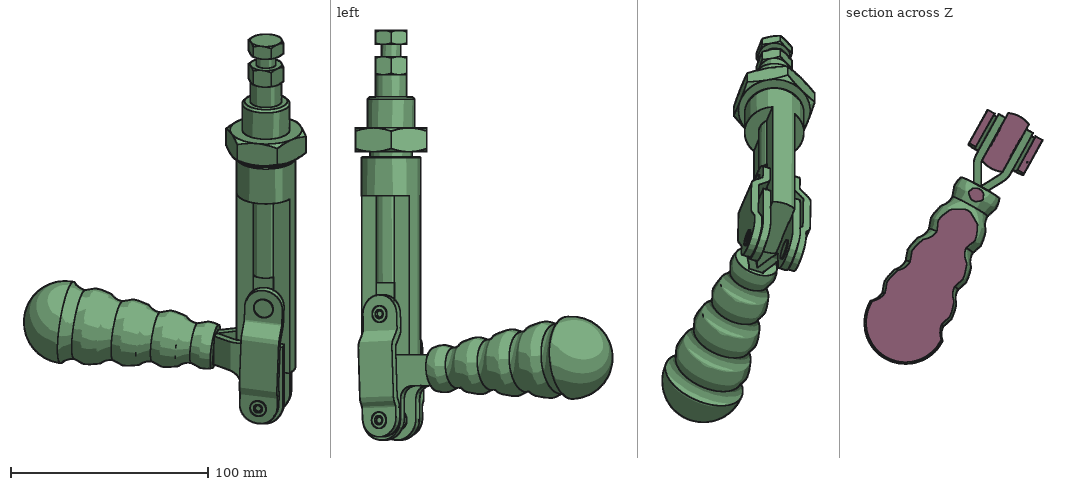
import cadquery as cq
import math

LEVER_TURN = -29.0

BODY_BOTTOM = 27.6
ROD_FLAT_TOP = 79.7
FLATS_TOP = 123.8
COLLAR_TOP = 143.7
NUT_BOTTOM = 146.2
NUT_TOP = 158.2
THREAD_TOP = 174.0
LOCK_NUT_BOTTOM = 185.2
LOCK_NUT_TOP = 194.4
HEAD_BOTTOM = 200.5
OVERALL_TOP = 207.6

BODY_DIAMETER = 30.1
NECK_DIAMETER = 21.5
THREAD_DIAMETER = 24.0
ROD_DIAMETER = 16.0
BOLT_DIAMETER = 10.0
COLLAR_CHAMFER = 0.6
THREAD_CHAMFER = 1.2
FLAT_DISTANCE = 6.0
ROD_FLAT_DEPTH = 0.2

NUT_ACROSS_FLATS = 36.3
BOLT_ACROSS_FLATS = 16.0
HEX_CHAMFER_ANGLE = 30.0

SHEET = 4.0
CHEEK_HALF_WIDTH = 11.0
ARM_BOTTOM = BODY_BOTTOM
ARM_TOP = 43.5
ARM_CORNER_RADIUS = 6.6
ARM_BEND_Y = -15.4
ARM_ANGLE = 29.0
ARM_BEND_RADIUS = 6.0
TANG_END_Y = -41.5

LINK_HALF_WIDTH = 9.8
LINK_BULGE = 6.0
LINK_BEND_RADIUS = 2.0
LINK_LEAN = 2.0
UPPER_BEND_TOP = 54.5
UPPER_BEND_BOTTOM = 47.5
LOWER_BEND_TOP = 21.5
LOWER_BEND_BOTTOM = 18.0
UPPER_PIN_Y = 1.0
UPPER_PIN_Z = 64.0
LOWER_PIN_Z = 10.2
LOWER_END_Z = 11.5

RIVET_HEAD_RADIUS = 5.0
RIVET_TAIL_RADIUS = 4.2
RIVET_DIMPLE_RADIUS = 2.3
RIVET_DIMPLE_DEPTH = 2.0
RIVET_PROUD = 0.6

HANDLE_TILT = 4.3
HANDLE_START = 26.4
HANDLE_START_RADIUS = 11.2
HANDLE_START_Z = 36.0
RIB_COUNT = 4
RIB_PITCH = 20.0
RIB_GROWTH = 2.5
FIRST_CREST = 32.0
CREST_RADIUS = 12.0
CROWN_BULGE = 0.31
CREST_TO_GROOVE = 5.2
GROOVE_DROP = 1.77
GROOVE_TO_CROWN = 6.6
CROWN_RISE = 2.7
HOLLOW_SAG = 0.8
RIB_EDGE_RADIUS = 1.5
KNOB_RADIUS = 21.0
KNOB_RIM = 1.0


def spindle_cylinder(bottom, top, diameter):
    """Round section on the Z axis."""
    return cq.Workplane("XY", origin=(0, 0, bottom)).circle(diameter / 2).extrude(top - bottom)


def chamfered_hex(bottom, top, across_flats):
    """Hexagon with corners on X and both ends coned off at the corners."""
    corner_radius = across_flats / math.sqrt(3)
    end_radius = across_flats / 2
    drop = (corner_radius - end_radius) * math.tan(math.radians(HEX_CHAMFER_ANGLE))
    envelope = (
        cq.Workplane("XZ")
        .polyline([
            (0, bottom),
            (end_radius, bottom),
            (corner_radius, bottom + drop),
            (corner_radius, top - drop),
            (end_radius, top),
            (0, top),
        ])
        .close()
        .revolve(360, (0, 0), (0, 1))
    )
    hexagon = (
        cq.Workplane("XY", origin=(0, 0, bottom))
        .polygon(6, 2 * corner_radius)
        .extrude(top - bottom)
    )
    return hexagon.intersect(envelope)


def make_body():
    """Collar, threaded neck and the flatted lower body with the rod showing through."""
    body = spindle_cylinder(BODY_BOTTOM, COLLAR_TOP, BODY_DIAMETER).faces(">Z").chamfer(COLLAR_CHAMFER)
    flat_height = FLATS_TOP - BODY_BOTTOM
    offcut = cq.Workplane("XY").box(BODY_DIAMETER, 2 * BODY_DIAMETER, flat_height)
    offcut_x = FLAT_DISTANCE + BODY_DIAMETER / 2

    recess_width = 2 * math.sqrt((ROD_DIAMETER / 2) ** 2 - FLAT_DISTANCE**2)
    recess_height = ROD_FLAT_TOP - BODY_BOTTOM
    recess = cq.Workplane("XY").box(2 * ROD_FLAT_DEPTH, recess_width, recess_height)
    for side in (-1, 1):
        body = body.cut(offcut.translate((side * offcut_x, 0, BODY_BOTTOM + flat_height / 2)))
        body = body.cut(recess.translate((side * FLAT_DISTANCE, 0, BODY_BOTTOM + recess_height / 2)))

    body = body.union(spindle_cylinder(ROD_FLAT_TOP, LOCK_NUT_BOTTOM, ROD_DIAMETER))
    body = body.union(spindle_cylinder(FLATS_TOP, NUT_TOP, NECK_DIAMETER))
    thread = spindle_cylinder(NUT_BOTTOM, THREAD_TOP, THREAD_DIAMETER)
    return body.union(thread.faces(">Z").chamfer(THREAD_CHAMFER))


def make_lever():
    """Two cheeks whose arms bend together into a tang inside the handle."""
    inner = FLAT_DISTANCE
    outer = FLAT_DISTANCE + SHEET
    slope = math.tan(math.radians(ARM_ANGLE))
    inner_bend_y = ARM_BEND_Y + SHEET * math.tan(math.radians(ARM_ANGLE / 2))
    half_plan = [
        (inner, CHEEK_HALF_WIDTH),
        (outer, CHEEK_HALF_WIDTH),
        (outer, ARM_BEND_Y),
        (SHEET, ARM_BEND_Y - (outer - SHEET) / slope),
        (SHEET, TANG_END_Y),
        (0, TANG_END_Y),
        (0, inner_bend_y - inner / slope),
        (inner, inner_bend_y),
    ]
    half = cq.Workplane("XY").polyline(half_plan).close().extrude(ARM_TOP)
    for x, y, radius in (
        (inner, inner_bend_y, ARM_BEND_RADIUS),
        (outer, ARM_BEND_Y, ARM_BEND_RADIUS + SHEET),
    ):
        half = half.edges(cq.selectors.NearestToPointSelector((x, y, ARM_TOP / 2))).fillet(radius)
    plan = half.union(half.mirror("YZ"))

    width = CHEEK_HALF_WIDTH
    corner = ARM_CORNER_RADIUS
    diagonal = corner * (1 - math.sqrt(0.5))
    side_shape = (
        cq.Workplane("YZ", origin=(-outer, 0, 0))
        .moveTo(width, ARM_TOP)
        .lineTo(width, width)
        .threePointArc((0, 0), (-width, width))
        .lineTo(-width, ARM_BOTTOM - corner)
        .threePointArc((-width - diagonal, ARM_BOTTOM - diagonal), (-width - corner, ARM_BOTTOM))
        .lineTo(TANG_END_Y, ARM_BOTTOM)
        .lineTo(TANG_END_Y, ARM_TOP)
        .close()
        .extrude(2 * outer)
    )
    return plan.intersect(side_shape)


def link_strip():
    """Cranked strip lying on the +X flat above and on the lever cheek below."""
    foot = FLAT_DISTANCE + SHEET
    bulge = FLAT_DISTANCE + LINK_BULGE
    top = UPPER_PIN_Z + LINK_HALF_WIDTH
    bottom = LOWER_END_Z - LINK_HALF_WIDTH
    inner_face = [
        (FLAT_DISTANCE, top),
        (FLAT_DISTANCE, UPPER_BEND_TOP),
        (bulge, UPPER_BEND_BOTTOM),
        (bulge, LOWER_BEND_TOP),
        (foot, LOWER_BEND_BOTTOM),
        (foot, bottom),
    ]
    upper_shift = SHEET * math.tan(math.atan2(LINK_BULGE, UPPER_BEND_TOP - UPPER_BEND_BOTTOM) / 2)
    lower_shift = SHEET * math.tan(math.atan2(bulge - foot, LOWER_BEND_TOP - LOWER_BEND_BOTTOM) / 2)
    shifts = [0, upper_shift, upper_shift, -lower_shift, -lower_shift, 0]
    outer_face = [(x + SHEET, z + shift) for (x, z), shift in zip(inner_face, shifts)]
    strip = (
        cq.Workplane("XZ", origin=(0, LINK_HALF_WIDTH, 0))
        .polyline(inner_face + outer_face[::-1])
        .close()
        .extrude(2 * LINK_HALF_WIDTH)
    )
    inside = LINK_BEND_RADIUS
    outside = LINK_BEND_RADIUS + SHEET
    bends = [
        (inner_face[1], outer_face[1], outside, inside),
        (inner_face[2], outer_face[2], inside, outside),
        (inner_face[3], outer_face[3], inside, outside),
        (inner_face[4], outer_face[4], outside, inside),
    ]
    for inner_corner, outer_corner, inner_radius, outer_radius in bends:
        for (x, z), radius in ((inner_corner, inner_radius), (outer_corner, outer_radius)):
            strip = strip.edges(cq.selectors.NearestToPointSelector((x, 0, z))).fillet(radius)
    outline = (
        cq.Workplane("YZ", origin=(0, 0, (top + bottom) / 2))
        .slot2D(top - bottom, 2 * LINK_HALF_WIDTH, 90)
        .extrude(BODY_DIAMETER)
    )
    return strip.intersect(outline)


def rivet(tail_x, head_x, y, z):
    """Rivet along X with a plain wide head at one end and a dimpled tail at the other."""
    way = math.copysign(1, head_x - tail_x)
    length = abs(head_x - tail_x)

    def disc(start_x, depth, radius):
        plane = cq.Plane(origin=(start_x, y, z), xDir=(0, 1, 0), normal=(way, 0, 0))
        return cq.Workplane(plane).circle(radius).extrude(depth)

    tail_end = tail_x - way * RIVET_PROUD
    shank = disc(tail_end, length + RIVET_PROUD, RIVET_TAIL_RADIUS)
    head = disc(head_x - way * SHEET / 2, SHEET / 2 + RIVET_PROUD, RIVET_HEAD_RADIUS)
    dimple = cq.Workplane(cq.Solid.makeCone(
        RIVET_DIMPLE_RADIUS, 0, RIVET_DIMPLE_DEPTH, cq.Vector(tail_end, y, z), cq.Vector(way, 0, 0)))
    return shank.union(head).cut(dimple)


def make_handle():
    """Ribbed grip ending in a ball, revolved about a slightly rising axis."""
    profile = (
        cq.Workplane("XY")
        .moveTo(0, -HANDLE_START)
        .lineTo(HANDLE_START_RADIUS, -HANDLE_START)
    )
    crown_start = HANDLE_START
    crown_radius = HANDLE_START_RADIUS
    rib_edges = []
    for rib in range(RIB_COUNT):
        crest = FIRST_CREST + rib * RIB_PITCH
        crest_radius = CREST_RADIUS + rib * RIB_GROWTH
        groove = crest + CREST_TO_GROOVE
        groove_radius = crest_radius - GROOVE_DROP
        crown_middle = ((crown_radius + crest_radius) / 2 + CROWN_BULGE, -(crown_start + crest) / 2)
        profile = profile.threePointArc(crown_middle, (crest_radius, -crest))
        rib_edges.append((crest_radius, crest))
        if rib > 0:
            rib_edges.append((crown_radius, crown_start))
        profile = profile.lineTo(groove_radius, -groove)
        crown_start = groove + GROOVE_TO_CROWN
        crown_radius = KNOB_RADIUS if rib == RIB_COUNT - 1 else groove_radius + CROWN_RISE
        hollow = ((groove_radius + crown_radius) / 2 - HOLLOW_SAG, -(groove + crown_start) / 2)
        profile = profile.threePointArc(hollow, (crown_radius, -crown_start))
    diagonal = KNOB_RADIUS * math.sqrt(0.5)
    ball_centre = -crown_start - KNOB_RIM
    profile = profile.lineTo(KNOB_RADIUS, ball_centre)
    profile = profile.threePointArc((diagonal, ball_centre - diagonal), (0, ball_centre - KNOB_RADIUS))
    handle = profile.close().revolve(360, (0, 0), (0, 1))
    for radius, distance in rib_edges:
        ring = cq.selectors.BoxSelector(
            (-radius, -distance - RIB_EDGE_RADIUS / 2, -radius),
            (radius, -distance + RIB_EDGE_RADIUS / 2, radius),
        )
        handle = handle.edges("%CIRCLE").edges(ring).fillet(RIB_EDGE_RADIUS)
    pivot = (0, -HANDLE_START, 0)
    handle = handle.rotate(pivot, (1, -HANDLE_START, 0), -HANDLE_TILT)
    return handle.translate((0, 0, HANDLE_START_Z))


link = link_strip().rotate((0, 0, UPPER_PIN_Z), (1, 0, UPPER_PIN_Z), -LINK_LEAN)
link = link.translate((0, UPPER_PIN_Y, 0))
lower_pin_y = UPPER_PIN_Y - (UPPER_PIN_Z - LOWER_PIN_Z) * math.sin(math.radians(LINK_LEAN))
ear_face = FLAT_DISTANCE + SHEET
foot_face = FLAT_DISTANCE + 2 * SHEET

clamp = make_body().union(make_lever()).union(make_handle())
clamp = clamp.union(link).union(link.mirror("YZ"))
clamp = clamp.union(rivet(-ear_face, ear_face, UPPER_PIN_Y, UPPER_PIN_Z))
for side in (-1, 1):
    clamp = clamp.union(rivet(side * foot_face, side * FLAT_DISTANCE, lower_pin_y, LOWER_PIN_Z))
clamp = clamp.rotate((0, 0, 0), (0, 0, 1), LEVER_TURN)

clamp = clamp.union(chamfered_hex(NUT_BOTTOM, NUT_TOP, NUT_ACROSS_FLATS))
clamp = clamp.union(chamfered_hex(LOCK_NUT_BOTTOM, LOCK_NUT_TOP, BOLT_ACROSS_FLATS))
clamp = clamp.union(spindle_cylinder(LOCK_NUT_BOTTOM, HEAD_BOTTOM, BOLT_DIAMETER))
result = clamp.union(chamfered_hex(HEAD_BOTTOM, OVERALL_TOP, BOLT_ACROSS_FLATS))